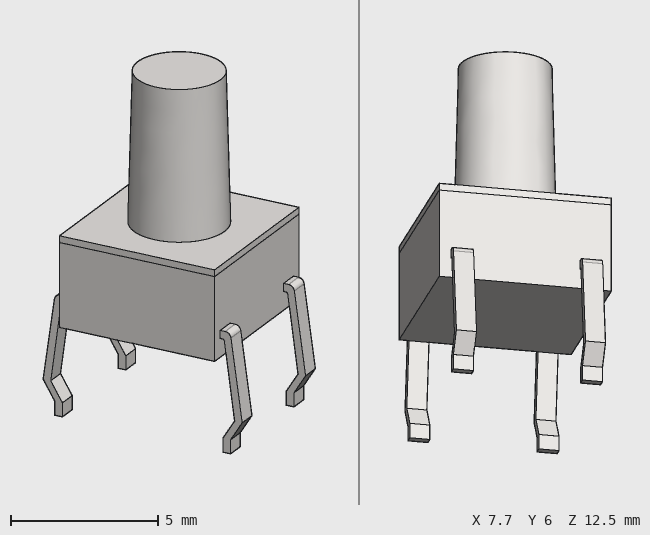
import cadquery as cq

body_width = 6.0
base_bottom = 3.5
base_top = 6.65
cover_thickness = 0.25
cover_top = base_top + cover_thickness

button_top = 12.5
button_bottom_radius = 1.75
button_top_radius = 1.6

pin_width = 0.7
pin_thickness = 0.3
pin_spacing = 4.5
shoulder_top = 4.5
shoulder_reach = 3.39
inner_reach = 3.15
outer_bend_radius = 0.22
inner_bend_radius = 0.08
knee_reach = 3.85
knee_height = 1.25
foot_reach = 3.4
foot_top = 0.52


def make_base():
    """Square block without its cover."""
    height = base_top - base_bottom
    block = cq.Workplane("XY").workplane(offset=base_bottom)
    return block.rect(body_width, body_width).extrude(height)


def make_cover():
    """Thin plate over the whole top of the base."""
    plate = cq.Workplane("XY").workplane(offset=base_top)
    return plate.rect(body_width, body_width).extrude(cover_thickness)


def make_button():
    """Truncated cone standing on the cover."""
    return (
        cq.Workplane("XZ")
        .moveTo(0, cover_top)
        .lineTo(button_bottom_radius, cover_top)
        .lineTo(button_top_radius, button_top)
        .lineTo(0, button_top)
        .close()
        .revolve(360, (0, 0, 0), (0, 1, 0))
    )


def make_pin(y_center):
    """Pin on the +X side: stub, rounded shoulder, splayed leg, knee and vertical foot."""
    wall = body_width / 2
    stub_bottom = shoulder_top - pin_thickness
    strip = (
        cq.Workplane("XZ", origin=(0, y_center + pin_width / 2, 0))
        .moveTo(wall, shoulder_top)
        .lineTo(shoulder_reach, shoulder_top)
        .lineTo(knee_reach, knee_height)
        .lineTo(foot_reach, foot_top)
        .lineTo(foot_reach, 0)
        .lineTo(foot_reach - pin_thickness, 0)
        .lineTo(foot_reach - pin_thickness, foot_top)
        .lineTo(knee_reach - pin_thickness, knee_height)
        .lineTo(inner_reach, stub_bottom)
        .lineTo(wall, stub_bottom)
        .close()
        .extrude(pin_width)
    )
    outer_corner = (shoulder_reach, y_center, shoulder_top)
    inner_corner = (inner_reach, y_center, stub_bottom)
    strip = strip.edges(cq.NearestToPointSelector(outer_corner)).fillet(outer_bend_radius)
    return strip.edges(cq.NearestToPointSelector(inner_corner)).fillet(inner_bend_radius)


housing = make_base()
for y_center in (-pin_spacing / 2, pin_spacing / 2):
    pin = make_pin(y_center)
    housing = housing.union(pin).union(pin.mirror("YZ"))

cover = make_cover()
button = make_button()

result = cq.Compound.makeCompound([housing.val(), cover.val(), button.val()])